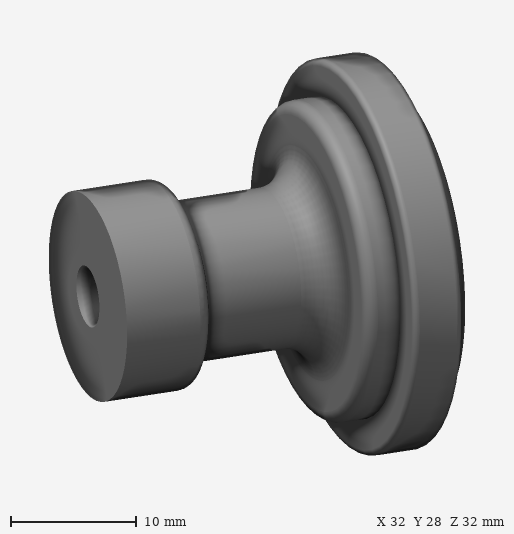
import cadquery as cq
import math

total_length = 28.0

foot_radius = 17.0 / 2
foot_shoulder_y = 6.95
foot_round = 1.0

stem_radius = 13.0 / 2
stem_start_y = 7.75
stem_flare = 3.0

collar_radius = 26.0 / 2
collar_start_y = 18.7
collar_round = 1.0

rim_radius = 32.0 / 2
rim_start_y = 21.6
rim_thickness = 4.2
rim_round = 0.5

cap_radius = 27.0 / 2
dome_radius = 98.0
cap_round = 0.5

hole_radius = 3.3 / 2
hole_depth = 8.0
hole_tip_angle = 118.0
mouth_radius = 5.0 / 2
mouth_depth = mouth_radius - hole_radius


def revolve_about_y(profile):
    """Turn a closed half profile (radius, y) into a solid around the Y axis."""
    return profile.close().revolve(360, (0, 0, 0), (0, 1, 0))


def round_edges_at(body, radius, y, fillet):
    """Round the circular edge of the given radius lying at height y."""
    reach = 0.01
    near_edge = cq.selectors.BoxSelector(
        (-radius - reach, y - reach, -radius - reach),
        (radius + reach, y + reach, radius + reach),
        boundingbox=True,
    )
    outermost = cq.selectors.RadiusNthSelector(-1)
    return body.edges(near_edge).edges("%CIRCLE").edges(outermost).fillet(fillet)


def make_body():
    """Foot, stem, collar, rim and domed cap, with rounded outer edges."""
    rim_end_y = rim_start_y + rim_thickness
    dome_center_y = total_length - dome_radius
    cap_edge_y = dome_center_y + math.sqrt(dome_radius**2 - cap_radius**2)
    dome_middle_radius = cap_radius / 2
    dome_middle_y = dome_center_y + math.sqrt(dome_radius**2 - dome_middle_radius**2)

    flare_middle = stem_flare * (1 - math.sqrt(0.5))
    profile = (
        cq.Workplane("XY")
        .lineTo(foot_radius, 0)
        .lineTo(foot_radius, foot_shoulder_y)
        .lineTo(stem_radius, stem_start_y)
        .lineTo(stem_radius, collar_start_y - stem_flare)
        .threePointArc(
            (stem_radius + flare_middle, collar_start_y - flare_middle),
            (stem_radius + stem_flare, collar_start_y),
        )
        .lineTo(collar_radius, collar_start_y)
        .lineTo(collar_radius, rim_start_y)
        .lineTo(rim_radius, rim_start_y)
        .lineTo(rim_radius, rim_end_y)
        .lineTo(cap_radius, rim_end_y)
        .lineTo(cap_radius, cap_edge_y)
        .threePointArc((dome_middle_radius, dome_middle_y), (0, total_length))
    )
    body = revolve_about_y(profile)

    rounded_edges = (
        (foot_radius, foot_shoulder_y, foot_round),
        (collar_radius, collar_start_y, collar_round),
        (rim_radius, rim_start_y, rim_round),
        (rim_radius, rim_end_y, rim_round),
        (cap_radius, cap_edge_y, cap_round),
    )
    for radius, y, fillet in rounded_edges:
        body = round_edges_at(body, radius, y, fillet)
    return body


def make_hole():
    """Countersunk blind hole with a conical drill tip."""
    tip_length = hole_radius / math.tan(math.radians(hole_tip_angle / 2))
    profile = (
        cq.Workplane("XY")
        .lineTo(mouth_radius, 0)
        .lineTo(hole_radius, mouth_depth)
        .lineTo(hole_radius, hole_depth)
        .lineTo(0, hole_depth + tip_length)
    )
    return revolve_about_y(profile)


result = make_body().cut(make_hole())